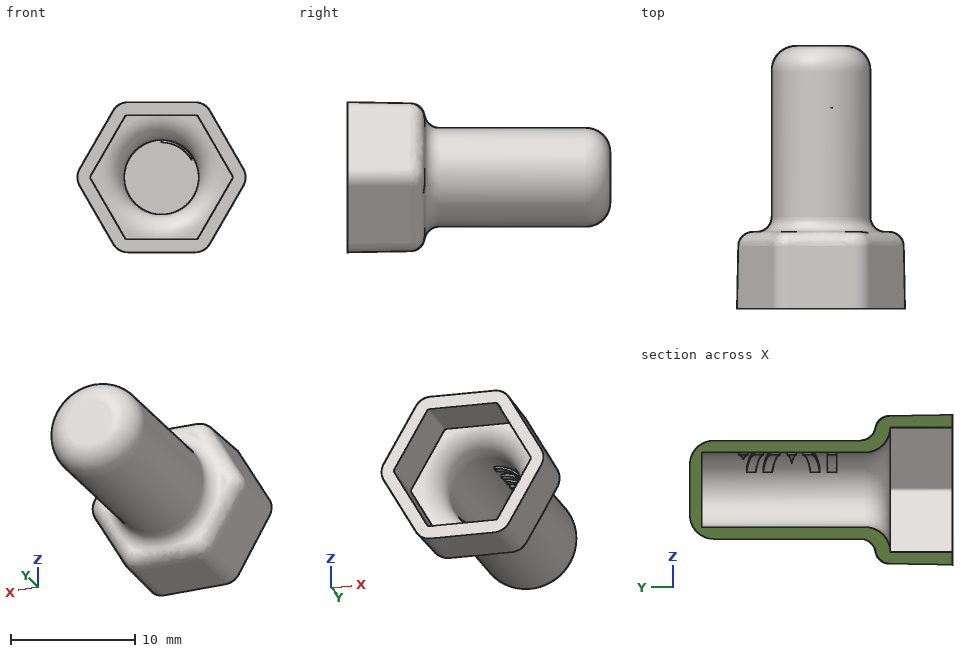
import cadquery as cq
import math

TOTAL_LENGTH = 21.2
WALL = 1.0

HEAD_FLATS = 12.13
HEAD_LENGTH = 6.21
HEAD_DRAFT = 1.0
HEAD_CORNER_RADIUS = 1.4
BLEND_RADIUS = 1.19

STEM_RADIUS = 8.0 / 2
TIP_RADIUS = 2 * WALL

SOCKET_FLATS = 10.0
SOCKET_DEPTH = 5.0
SOCKET_CORNER_RADIUS = 0.25
BORE_RADIUS = 6.0 / 2
BORE_END = TOTAL_LENGTH - WALL
MOUTH_RADIUS = 2.04

PAD_THICKNESS = 0.2
PAD_WIDTH = 0.75
PAD_REACH = 2.44
PAD_SLANT = 0.61
RISING_PADS = (13.9, 15.25)
FALLING_PAD = 11.32
STRAIGHT_PAD = 9.35
POINTED_PADS = ((16.85, 1.35), (12.95, 1.8))


def across_corners(flats):
    return flats * 2 / math.sqrt(3)


def along_axis(start=0.0):
    """Workplane across the axis at Y = start; extrusions run toward +Y."""
    return cq.Workplane("XZ", origin=(0, start, 0))


def make_head():
    """Drafted hexagon with rounded corners."""
    head = along_axis().polygon(6, across_corners(HEAD_FLATS)).extrude(-HEAD_LENGTH, taper=HEAD_DRAFT)
    return head.edges("not #Y").fillet(HEAD_CORNER_RADIUS)


def make_stem():
    stem = along_axis(SOCKET_DEPTH).circle(STEM_RADIUS).extrude(SOCKET_DEPTH - TOTAL_LENGTH)
    return stem.faces(">Y").edges().fillet(TIP_RADIUS)


def make_outer_body():
    """Head and stem, with a concave fillet at the stem root and a rounded rim on the head."""
    body = make_head().union(make_stem())
    root_edge = cq.NearestToPointSelector((0, HEAD_LENGTH, 0))
    body = body.edges(root_edge).fillet(BLEND_RADIUS)
    rim_edge = cq.NearestToPointSelector((0, HEAD_LENGTH, HEAD_FLATS / 2))
    return body.edges(rim_edge).fillet(BLEND_RADIUS)


def hex_prism(length):
    prism = along_axis().polygon(6, across_corners(SOCKET_FLATS)).extrude(-length)
    return prism.edges("|Y").fillet(SOCKET_CORNER_RADIUS)


def make_bore():
    """Blind bore whose mouth is rounded into the socket floor, held within the socket outline."""
    arc_step = MOUTH_RADIUS * (1 - math.sqrt(0.5))
    bore = (
        cq.Workplane("XY")
        .moveTo(0, SOCKET_DEPTH)
        .lineTo(BORE_RADIUS + MOUTH_RADIUS, SOCKET_DEPTH)
        .threePointArc(
            (BORE_RADIUS + arc_step, SOCKET_DEPTH + arc_step), (BORE_RADIUS, SOCKET_DEPTH + MOUTH_RADIUS)
        )
        .lineTo(BORE_RADIUS, BORE_END)
        .lineTo(0, BORE_END)
        .close()
        .revolve(360, (0, 0, 0), (0, 1, 0))
    )
    return bore.intersect(hex_prism(BORE_END))


def make_cap():
    return make_outer_body().cut(hex_prism(SOCKET_DEPTH)).cut(make_bore())


def make_pad(outline):
    """Curved pad lining the upper bore wall, bounded by an outline in X and Y."""
    lining = along_axis().circle(BORE_RADIUS).circle(BORE_RADIUS - PAD_THICKNESS).extrude(-BORE_END)
    return lining.intersect(cq.Workplane("XY").polyline(outline).close().extrude(BORE_RADIUS))


def strip_outline(start, slant):
    """Strip from X = 0 whose outer end is shifted along Y by slant."""
    return [
        (0, start),
        (PAD_REACH, start + slant),
        (PAD_REACH, start + slant + PAD_WIDTH),
        (0, start + PAD_WIDTH),
    ]


def pointed_outline(centre, reach):
    return [(0, centre - PAD_WIDTH / 2), (reach, centre), (0, centre + PAD_WIDTH / 2)]


pad_outlines = [strip_outline(start, PAD_SLANT) for start in RISING_PADS]
pad_outlines.append(strip_outline(FALLING_PAD, -PAD_SLANT))
pad_outlines.append(strip_outline(STRAIGHT_PAD, 0))
pad_outlines += [pointed_outline(centre, reach) for centre, reach in POINTED_PADS]

cap = make_cap()
pads = [make_pad(outline) for outline in pad_outlines]

result = cq.Compound.makeCompound([cap.solids().val(), *[pad.solids().val() for pad in pads]])